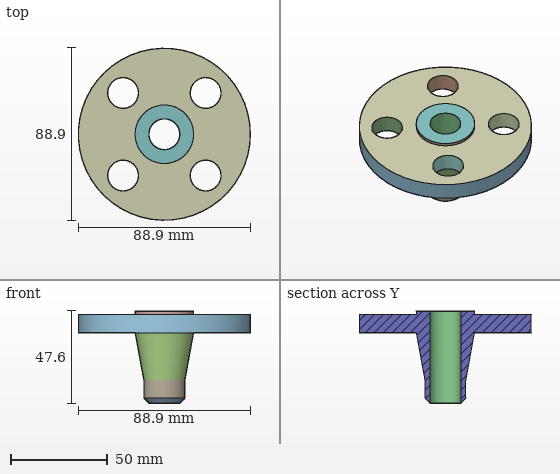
import cadquery as cq

total_height = 47.56
raised_face_height = 1.6
disc_thickness = 9.6
neck_length = 12.0
bevel_height = 2.65

flange_diameter = 88.9
raised_face_diameter = 30.2
hub_base_diameter = 30.2
neck_diameter = 21.3
bevel_end_diameter = 16.0
bore_diameter = 15.76

bolt_hole_count = 4
bolt_hole_diameter = 15.76
bolt_circle_diameter = 60.3
first_bolt_angle = 45.0

neck_top = neck_length
disc_top = total_height - raised_face_height
disc_bottom = disc_top - disc_thickness


def flange_body():
    """Revolve the half section of the raised face, disc, hub and bevelled neck."""
    half_section = [
        (0, 0),
        (bevel_end_diameter / 2, 0),
        (neck_diameter / 2, bevel_height),
        (neck_diameter / 2, neck_top),
        (hub_base_diameter / 2, disc_bottom),
        (flange_diameter / 2, disc_bottom),
        (flange_diameter / 2, disc_top),
        (raised_face_diameter / 2, disc_top),
        (raised_face_diameter / 2, total_height),
        (0, total_height),
    ]
    return (
        cq.Workplane("XZ")
        .polyline(half_section)
        .close()
        .revolve(360, (0, 0, 0), (0, 1, 0))
    )


def bore():
    """Through bore along the flange axis."""
    return cq.Workplane("XY").circle(bore_diameter / 2).extrude(total_height)


def bolt_holes():
    """Bolt holes straddling the X and Y axes, through the disc."""
    return (
        cq.Workplane("XY")
        .workplane(offset=disc_bottom)
        .polarArray(bolt_circle_diameter / 2, first_bolt_angle, 360, bolt_hole_count)
        .circle(bolt_hole_diameter / 2)
        .extrude(disc_thickness)
    )


result = flange_body().cut(bore()).cut(bolt_holes())